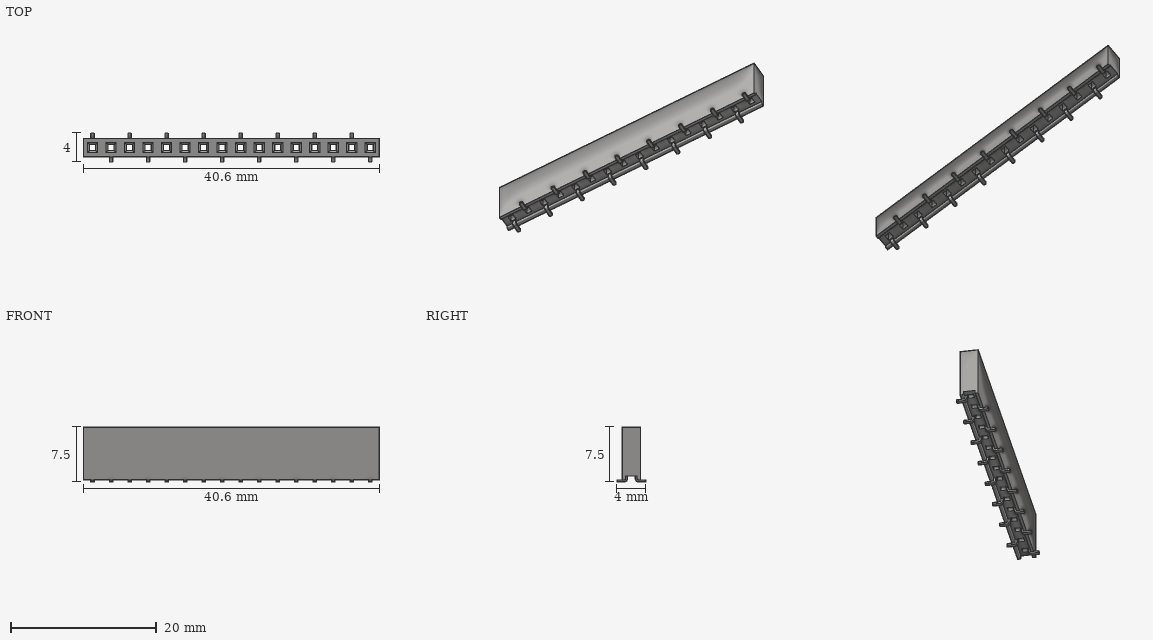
import cadquery as cq
import math

contact_count = 16
pitch = 2.54
body_length = contact_count * pitch
body_width = 2.54
overall_height = 7.5
lead_span = 4.0

lead_thickness = 0.28
tip_chamfer = 0.1
lead_width = 0.5
bend_inner_radius = 0.18
bend_outer_radius = bend_inner_radius + lead_thickness

channel_width = 1.6
channel_depth = 0.5
body_bottom = lead_thickness
channel_floor = body_bottom + channel_depth

funnel_mouth = 1.4
hole_side = 0.8
funnel_depth = (funnel_mouth - hole_side) / 2


def contact_x(index):
    """X position of a contact, counted from the -X end."""
    return (index - (contact_count - 1) / 2) * pitch


def make_body():
    """Rectangular housing with the underside channel, its mouth rounded to seat the lead bends."""
    body = cq.Workplane("XY").workplane(offset=body_bottom).rect(body_length, body_width)
    body = body.extrude(overall_height - body_bottom)
    channel = cq.Workplane("XY").workplane(offset=body_bottom).rect(body_length, channel_width)
    body = body.cut(channel.extrude(channel_depth))
    rail_edges = body.faces("<Z").edges("|X")
    inner_edges = rail_edges.edges("not (<Y or >Y)")
    return inner_edges.fillet(bend_inner_radius)


def make_socket(x):
    """Cutter for one socket: through hole plus tapered mouth."""
    hole = cq.Workplane("XY").center(x, 0).rect(hole_side, hole_side).extrude(overall_height)
    funnel = (
        cq.Workplane("XY")
        .workplane(offset=overall_height - funnel_depth)
        .center(x, 0)
        .rect(hole_side, hole_side)
        .workplane(offset=funnel_depth)
        .rect(funnel_mouth, funnel_mouth)
        .loft(ruled=True)
    )
    return hole.union(funnel)


def make_lead(x, side):
    """L-shaped lead from the channel floor out under the body; side is +1 or -1 along Y."""
    wall = channel_width / 2
    inner_face = wall - lead_thickness
    tip = lead_span / 2
    bend_y = inner_face + bend_outer_radius
    bend_z = bend_outer_radius
    diagonal = math.sqrt(0.5)

    def bend_middle(radius):
        return (side * (bend_y - radius * diagonal), bend_z - radius * diagonal)

    profile = (
        cq.Workplane("YZ")
        .workplane(offset=x - lead_width / 2)
        .moveTo(side * inner_face, channel_floor)
        .lineTo(side * inner_face, bend_z)
        .threePointArc(bend_middle(bend_outer_radius), (side * bend_y, 0))
        .lineTo(side * tip, 0)
        .lineTo(side * tip, lead_thickness)
        .lineTo(side * bend_y, lead_thickness)
        .threePointArc(bend_middle(bend_inner_radius), (side * wall, bend_z))
        .lineTo(side * wall, channel_floor)
        .close()
    )
    tip_face = ">Y" if side > 0 else "<Y"
    return profile.extrude(lead_width).faces(tip_face).edges("|Z").chamfer(tip_chamfer)


result = make_body()
for index in range(contact_count):
    lead_side = 1 if index % 2 == 0 else -1
    result = result.cut(make_socket(contact_x(index)))
    result = result.union(make_lead(contact_x(index), lead_side))